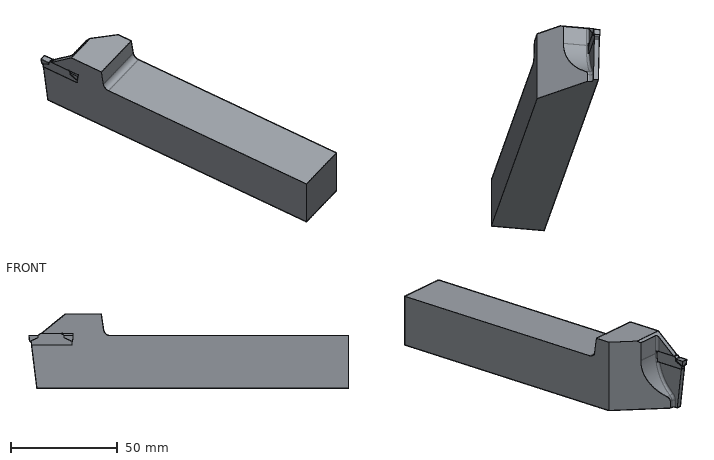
import cadquery as cq
import math

total_length = 150.0
shank_height = 24.9
head_height = 35.0
depth = 25.2
nose_bottom_x = 3.8
nose_angle = 7.0
head_front_x = 17.1
head_rear_x = 34.0
head_rear_angle = 8.4
head_rear_fillet = 3.0
bevel_offset = 1.4

blade_thickness = 2.4
scoop_wall_x = 15.9
scoop_radius = 25.0
scoop_end_z = 5.8
scoop_blend_radius = 3.0
scoop_fillet = 1.2

insert_length = 20.8
insert_bottom_z = 20.4
insert_top_z = shank_height
insert_ridge_z = 25.8
insert_web_thickness = blade_thickness
insert_head_length = 4.4
insert_ridge_ramp = 1.0
insert_nose_inset = 1.2
insert_rear_inset = 0.6
head_front_overhang = 0.2
head_back_overhang = 0.5
head_edge_height = 2.5
head_inner_height = 1.0
head_edge_relief = 0.3
lower_lip_z = 21.5
jaw_front_x = 5.8


def side_profile(points, start_y, end_y):
    """Solid with an XZ outline, filling start_y to end_y."""
    sketch = cq.Workplane("XZ", origin=(0, start_y, 0)).polyline(points).close()
    return sketch.extrude(start_y - end_y)


def nose_x(z):
    """Position of the inclined nose face at height z."""
    return nose_bottom_x - z * math.tan(math.radians(nose_angle))


def make_blank():
    rear_lean = (head_height - shank_height) * math.tan(math.radians(head_rear_angle))
    head_foot_x = head_rear_x + rear_lean
    outline = [
        (nose_bottom_x, 0),
        (total_length, 0),
        (total_length, shank_height),
        (head_foot_x, shank_height),
        (head_rear_x, head_height),
        (head_front_x, head_height),
        (jaw_front_x, insert_ridge_z),
        (nose_x(insert_ridge_z), insert_ridge_z),
    ]
    blank = side_profile(outline, 0, depth)
    foot_edge = cq.selectors.NearestToPointSelector((head_foot_x, depth / 2, shank_height))
    return blank.edges(foot_edge).fillet(head_rear_fillet)


def make_bevel_cut():
    triangle = [
        (bevel_offset - depth, -depth),
        (bevel_offset - depth, 2 * depth),
        (bevel_offset + 2 * depth, 2 * depth),
    ]
    bevel = cq.Workplane("XY").polyline(triangle).close().extrude(head_height)
    blade_zone = cq.Workplane("XY").box(3 * depth, blade_thickness + depth, head_height, centered=False)
    return bevel.cut(blade_zone.translate((-depth, -depth, 0)))


def make_scoop_cut():
    """Relief behind the blade: a vertical wall, a concave arc and a convex blend to the nose."""
    drop = shank_height - scoop_end_z
    end_angle = math.asin(drop / scoop_radius)
    center_x = scoop_wall_x - scoop_radius
    arc_middle = (
        center_x + scoop_radius * math.cos(end_angle / 2),
        shank_height - scoop_radius * math.sin(end_angle / 2),
    )
    arc_end_x = center_x + scoop_radius * math.cos(end_angle)

    blend_x = arc_end_x - scoop_blend_radius * (1 - math.cos(end_angle))
    blend_z = scoop_end_z - scoop_blend_radius * math.sin(end_angle)
    blend_middle = (
        blend_x + scoop_blend_radius * (1 - math.cos(end_angle / 2)),
        blend_z + scoop_blend_radius * math.sin(end_angle / 2),
    )
    outer_x = -depth
    scoop = (
        cq.Workplane("XZ", origin=(0, blade_thickness, 0))
        .moveTo(outer_x, head_height)
        .lineTo(scoop_wall_x, head_height)
        .lineTo(scoop_wall_x, shank_height)
        .threePointArc(arc_middle, (arc_end_x, scoop_end_z))
        .threePointArc(blend_middle, (blend_x, blend_z))
        .lineTo(blend_x, 0)
        .lineTo(outer_x, 0)
        .close()
        .extrude(-depth)
    )
    root_edges = cq.selectors.BoxSelector(
        (0, blade_thickness - scoop_fillet, scoop_fillet),
        (depth, blade_thickness + scoop_fillet, head_height - scoop_fillet),
    )
    return scoop.edges(root_edges).fillet(scoop_fillet)


def make_seat_cut():
    seat_outline = [
        (-insert_nose_inset, insert_bottom_z),
        (insert_length - insert_rear_inset, insert_bottom_z),
        (insert_length - insert_rear_inset, lower_lip_z),
        (insert_length - head_edge_relief, insert_top_z - head_edge_height),
        (insert_length, insert_top_z),
        (insert_length, insert_ridge_z),
        (-insert_nose_inset, insert_ridge_z),
    ]
    return side_profile(seat_outline, -head_front_overhang, blade_thickness + head_back_overhang)


def make_holder():
    return make_blank().cut(make_bevel_cut()).cut(make_scoop_cut()).cut(make_seat_cut())


def make_insert_head():
    """Wide cutting head at the nose end."""
    outline = [
        (0, insert_top_z),
        (insert_head_length, insert_top_z),
        (insert_head_length, insert_top_z - head_inner_height),
        (insert_nose_inset, insert_top_z - head_edge_height),
        (head_edge_relief, insert_top_z - head_edge_height),
    ]
    return side_profile(outline, -head_front_overhang, insert_web_thickness + head_back_overhang)


def make_insert():
    ridge_start = insert_head_length + insert_ridge_ramp
    upper_half = [
        (head_edge_relief, insert_top_z - head_edge_height),
        (0, insert_top_z),
        (insert_head_length, insert_top_z),
        (ridge_start, insert_ridge_z),
    ]
    mirrored_half = [(insert_length - x, z) for x, z in reversed(upper_half)]
    nose_foot = [
        (insert_nose_inset, insert_bottom_z),
        (insert_nose_inset, lower_lip_z),
    ]
    rear_foot = [
        (insert_length - insert_rear_inset, lower_lip_z),
        (insert_length - insert_rear_inset, insert_bottom_z),
    ]
    web_outline = nose_foot + upper_half + mirrored_half + rear_foot
    web = side_profile(web_outline, 0, insert_web_thickness)
    front_head = make_insert_head()
    rear_head = front_head.mirror("YZ", (insert_length / 2, 0, 0))
    return web.union(front_head).union(rear_head)


holder = make_holder()
insert = make_insert()
result = cq.Compound.makeCompound([*holder.solids().vals(), *insert.solids().vals()])